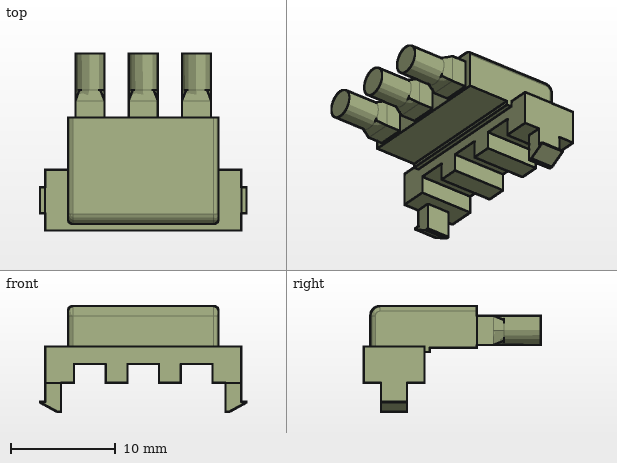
import cadquery as cq

overall_width = 19.7
overall_length = 16.9
overall_height = 10.1

base_width = 18.7
base_depth = 5.81
base_bottom = 2.78
base_top = 6.25
slot_width = 3.0
slot_depth = 1.8

leg_inner_x = 7.82
leg_toe_x = 8.2
leg_front = 1.65
leg_depth = 2.5
hook_top = 0.98
hook_lip = 0.08

housing_width = 14.38
housing_front = 0.63
housing_back = 10.8
housing_bottom = 6.1
side_radius = 0.5
front_radius = 0.95

ledge_back = 6.32
ledge_bottom = 5.7

pin_pitch = 5.08
pin_diameter = 2.8
pin_center_z = 7.78
square_end = 12.37
round_start = 13.4
pin_positions = [-pin_pitch, 0, pin_pitch]


def box(width, y_start, y_end, z_start, z_end, center_x=0):
    """Block centred on center_x, between the given Y and Z limits."""
    return (
        cq.Workplane("XY")
        .box(width, y_end - y_start, z_end - z_start, centered=(True, False, False))
        .translate((center_x, y_start, z_start))
    )


def make_housing():
    housing = box(housing_width, housing_front, housing_back, housing_bottom, overall_height)
    housing = housing.faces("<Y").edges(">Z").fillet(front_radius)
    return housing.faces("<X or >X").edges("not(<Z or >Y)").fillet(side_radius)


def make_base():
    base = box(base_width, 0, base_depth, base_bottom, base_top)
    for x in pin_positions:
        base = base.cut(box(slot_width, 0, base_depth, base_bottom, base_bottom + slot_depth, x))
    return base


def make_leg():
    """Right-hand leg with an outward snap hook."""
    outline = [
        (leg_inner_x, base_bottom),
        (base_width / 2, base_bottom),
        (base_width / 2, hook_top),
        (overall_width / 2, hook_top),
        (overall_width / 2, hook_top - hook_lip),
        (leg_toe_x, 0),
        (leg_inner_x, 0),
    ]
    return (
        cq.Workplane("XZ", origin=(0, leg_front, 0))
        .polyline(outline)
        .close()
        .extrude(-leg_depth)
    )


def make_pin(x):
    """Square root blending into a round pin."""
    pin_radius = pin_diameter / 2
    root = box(
        pin_diameter, housing_back, square_end,
        pin_center_z - pin_radius, pin_center_z + pin_radius, x,
    )
    transition = (
        cq.Workplane("XZ", origin=(x, square_end, pin_center_z))
        .rect(pin_diameter, pin_diameter)
        .workplane(offset=square_end - round_start)
        .circle(pin_radius)
        .loft(ruled=True)
    )
    shaft = (
        cq.Workplane("XZ", origin=(x, round_start, pin_center_z))
        .circle(pin_radius)
        .extrude(round_start - overall_length)
    )
    return root.union(transition).union(shaft)


ledge = box(housing_width, base_depth, ledge_back, ledge_bottom, housing_bottom)
leg = make_leg()
result = make_base().union(make_housing()).union(ledge).union(leg).union(leg.mirror("YZ"))
for pin_x in pin_positions:
    result = result.union(make_pin(pin_x))